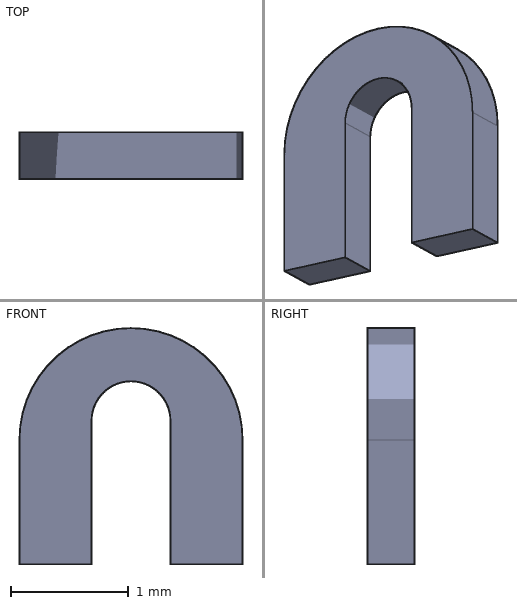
import cadquery as cq

width = 1.9
thickness = 0.4
height = 2.01
slot_width = 0.67
slot_height = 1.555


def round_topped_plate(plate_width, plate_height):
    """Plate standing on Z = 0 with straight sides and a semicircular top."""
    radius = plate_width / 2
    shoulder = plate_height - radius
    return (
        cq.Workplane("XZ")
        .moveTo(-radius, 0)
        .lineTo(-radius, shoulder)
        .threePointArc((0, plate_height), (radius, shoulder))
        .lineTo(radius, 0)
        .close()
        .extrude(thickness / 2, both=True)
    )


body = round_topped_plate(width, height)
slot = round_topped_plate(slot_width, slot_height)
result = body.cut(slot)